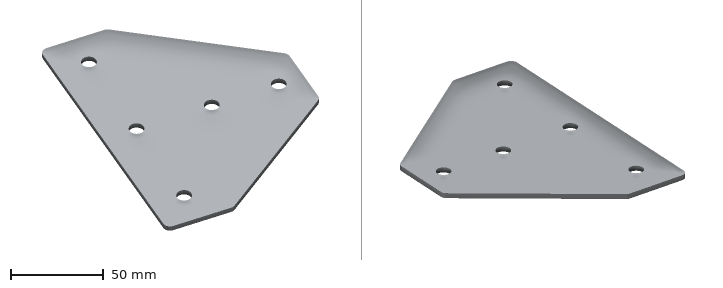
import cadquery as cq

width = 160.0
depth = 120.0
thickness = 3.0
top_edge_width = 40.0
side_edge_height = 40.0
corner_radius = 4.0

hole_diameter = 8.5
side_hole_inset = 20.0
bottom_row_y = 20.0
middle_hole_y = 65.0
upper_hole_y = 105.0


def make_plate():
    """Flat T-joint plate with sloping flanks and rounded corners."""
    outline = [
        (-width / 2, 0),
        (width / 2, 0),
        (width / 2, side_edge_height),
        (top_edge_width / 2, depth),
        (-top_edge_width / 2, depth),
        (-width / 2, side_edge_height),
    ]
    plate = cq.Workplane("XY").polyline(outline).close().extrude(thickness)
    return plate.edges("|Z").fillet(corner_radius)


def make_hole_cutters():
    """Through holes: a row along the bottom edge and a column on the centreline."""
    side_hole_x = width / 2 - side_hole_inset
    centres = [
        (-side_hole_x, bottom_row_y),
        (0, bottom_row_y),
        (side_hole_x, bottom_row_y),
        (0, middle_hole_y),
        (0, upper_hole_y),
    ]
    return cq.Workplane("XY").pushPoints(centres).circle(hole_diameter / 2).extrude(thickness)


result = make_plate().cut(make_hole_cutters())